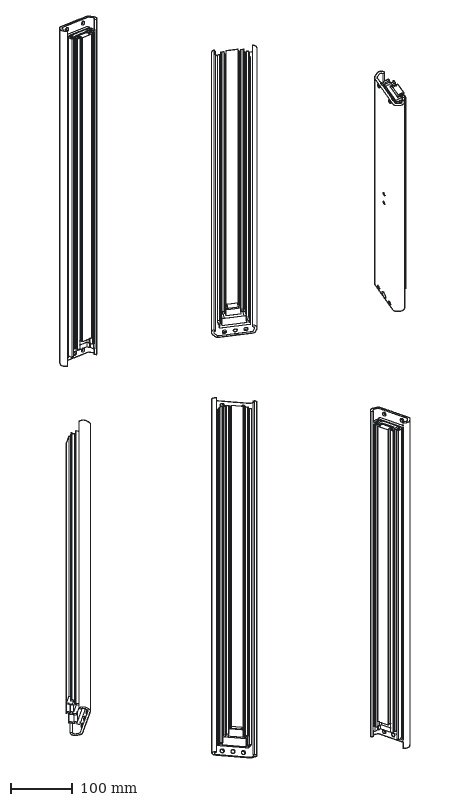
import cadquery as cq
import math

length = 600.0
width = 75.0
depth = 32.0

channel_thickness = 4.0
corner_radius = 6.0
corner_turn = 60.0
slope_length = 6.0
lip_radius = 8.5
lip_end_angle = 70.0

mount_hole_diameter = 6.5
mount_hole_spacing = 35.5
end_hole_inset = 7.0
center_hole_diameter = 5.5
center_hole_heights = (0.5, -24.5)
countersink_diameter = 12.0
countersink_hole_diameter = 6.0

rail_top = length / 2 - 15.0
outer_rail_bottom = -length / 2 + 15.0
middle_rail_bottom = -length / 2 + 28.0
inner_rail_bottom = -length / 2 + 41.0

outer_rail_clearance = 1.0
outer_rail_width = 51.5
outer_rail_reach = 24.0
outer_web = 5.5
outer_leg = 3.5
outer_groove_start = 10.0
outer_jog = 14.5
outer_jog_height = 2.0

middle_rail_clearance = 2.0
middle_rail_width = 35.0
middle_rail_reach = 30.0
middle_web = 6.0
middle_leg = 3.5
middle_jog = 24.0
middle_jog_height = 1.0
flare_height = 2.0
flare_thickness = 1.0

outer_cage_thickness = 3.5
outer_cage_length = 11.0

inner_cage_width = 22.0
inner_cage_reach = 27.0
inner_cage_web = 3.0
inner_cage_leg = 2.5

inner_head_width = 20.0
inner_head_thickness = 3.0

outer_rail_back = channel_thickness + outer_rail_clearance
middle_rail_back = outer_rail_back + outer_web + middle_rail_clearance
inner_cage_back = middle_rail_back + middle_web
inner_rail_back = inner_cage_back + inner_cage_web


def extrude_between(section, bottom, top):
    """Extrude a closed XY section vertically from bottom to top."""
    return section.extrude(top - bottom).translate((0, 0, bottom))


def bar(points, bottom):
    """Straight bar of the given cross-section, from bottom up to the common rail top."""
    section = cq.Workplane("XY").polyline(points).close()
    return extrude_between(section, bottom, rail_top)


def mirrored_bar(upper_half, bottom):
    """Bar with the given +Y half of a cross-section, open on Y = 0, and its mirror image."""
    lower_half = [(x, -y) for x, y in reversed(upper_half)]
    return bar(upper_half + lower_half, bottom)


def polar(center, radius, angle):
    """Point on a circle, with the angle measured from +Y towards +X."""
    turn = math.radians(angle)
    return (center[0] + radius * math.sin(turn), center[1] + radius * math.cos(turn))


def make_channel_half():
    """Half of the channel on the +Y side, from the middle of the web to the lip."""
    bend = math.radians(corner_turn)
    slope_angle = corner_turn - 90
    lip_center = (
        corner_radius + (lip_radius - corner_radius) * math.cos(bend) + slope_length * math.sin(bend),
        width / 2 - lip_radius,
    )
    flat_half = (
        lip_center[1] - slope_length * math.cos(bend) + (lip_radius - corner_radius) * math.sin(bend)
    )
    corner_center = (corner_radius, flat_half)
    corner_inner = corner_radius - channel_thickness
    lip_inner = lip_radius - channel_thickness
    corner_middle = (slope_angle - 90) / 2
    lip_middle = (slope_angle + lip_end_angle) / 2
    section = (
        cq.Workplane("XY")
        .moveTo(0, 0)
        .lineTo(0, flat_half)
        .threePointArc(
            polar(corner_center, corner_radius, corner_middle),
            polar(corner_center, corner_radius, slope_angle),
        )
        .lineTo(*polar(lip_center, lip_radius, slope_angle))
        .threePointArc(
            polar(lip_center, lip_radius, lip_middle),
            polar(lip_center, lip_radius, lip_end_angle),
        )
        .lineTo(*polar(lip_center, lip_inner, lip_end_angle))
        .threePointArc(
            polar(lip_center, lip_inner, lip_middle),
            polar(lip_center, lip_inner, slope_angle),
        )
        .lineTo(*polar(corner_center, corner_inner, slope_angle))
        .threePointArc(
            polar(corner_center, corner_inner, corner_middle),
            (channel_thickness, flat_half),
        )
        .lineTo(channel_thickness, 0)
        .close()
    )
    return extrude_between(section, -length / 2, length / 2)


def drill_web(y, z, diameter):
    """Cutter for a round hole through the channel web along X."""
    return cq.Workplane("YZ").center(y, z).circle(diameter / 2).extrude(channel_thickness)


def make_channel():
    half = make_channel_half()
    channel = half.union(half.mirror("XZ"))
    end_hole_height = length / 2 - end_hole_inset
    for z in (-end_hole_height, end_hole_height):
        for y in (-mount_hole_spacing / 2, mount_hole_spacing / 2):
            channel = channel.cut(drill_web(y, z, mount_hole_diameter))
    for z in center_hole_heights:
        channel = channel.cut(drill_web(0, z, center_hole_diameter))
    countersink = (
        cq.Workplane("YZ")
        .center(0, -end_hole_height)
        .circle(countersink_diameter / 2)
        .workplane(offset=channel_thickness)
        .circle(countersink_hole_diameter / 2)
        .loft(ruled=True)
    )
    return channel.cut(countersink)


def make_outer_rail():
    half_width = outer_rail_width / 2
    neck = half_width - outer_jog_height
    upper_half = [
        (outer_rail_back, half_width),
        (outer_groove_start, half_width),
        (outer_groove_start, neck),
        (outer_jog, neck),
        (outer_jog, half_width),
        (outer_rail_reach, half_width),
        (outer_rail_reach, half_width - outer_leg),
        (outer_jog + outer_jog_height, half_width - outer_leg),
        (outer_jog + outer_jog_height, neck - outer_leg),
        (outer_rail_back + outer_web, neck - outer_leg),
    ]
    return mirrored_bar(upper_half, outer_rail_bottom)


def make_middle_rail():
    half_width = middle_rail_width / 2
    neck = half_width - middle_jog_height
    flare_back = middle_rail_reach - flare_thickness
    upper_half = [
        (middle_rail_back, neck),
        (middle_jog, neck),
        (middle_jog, half_width),
        (flare_back, half_width),
        (flare_back, half_width + flare_height),
        (middle_rail_reach, half_width + flare_height),
        (middle_rail_reach, half_width - middle_leg),
        (middle_jog, half_width - middle_leg),
        (middle_jog, neck - middle_leg),
        (middle_rail_back + middle_web, neck - middle_leg),
    ]
    return mirrored_bar(upper_half, middle_rail_bottom)


def make_outer_cage(side):
    """Cage strip on one side, resting on the outside of the middle rail leg."""
    inside = side * (middle_rail_width / 2 - middle_jog_height)
    outside = inside + side * outer_cage_thickness
    cage_front = middle_rail_back + outer_cage_length
    section = [
        (middle_rail_back, inside),
        (cage_front, inside),
        (cage_front, outside),
        (middle_rail_back, outside),
    ]
    return bar(section, middle_rail_bottom)


def make_inner_cage():
    half_width = inner_cage_width / 2
    upper_half = [
        (inner_cage_back, half_width),
        (inner_cage_reach, half_width),
        (inner_cage_reach, half_width - inner_cage_leg),
        (inner_rail_back, half_width - inner_cage_leg),
    ]
    return mirrored_bar(upper_half, inner_rail_bottom)


def make_inner_rail():
    body_half_width = inner_cage_width / 2 - inner_cage_leg
    head_back = depth - inner_head_thickness
    upper_half = [
        (inner_rail_back, body_half_width),
        (head_back, body_half_width),
        (head_back, inner_head_width / 2),
        (depth, inner_head_width / 2),
    ]
    return mirrored_bar(upper_half, inner_rail_bottom)


channel = make_channel()
outer_rail = make_outer_rail()
middle_rail = make_middle_rail()
outer_cages = [make_outer_cage(side) for side in (-1, 1)]
inner_cage = make_inner_cage()
inner_rail = make_inner_rail()

bodies = [channel, outer_rail, middle_rail, *outer_cages, inner_cage, inner_rail]
result = cq.Compound.makeCompound([body.val() for body in bodies])